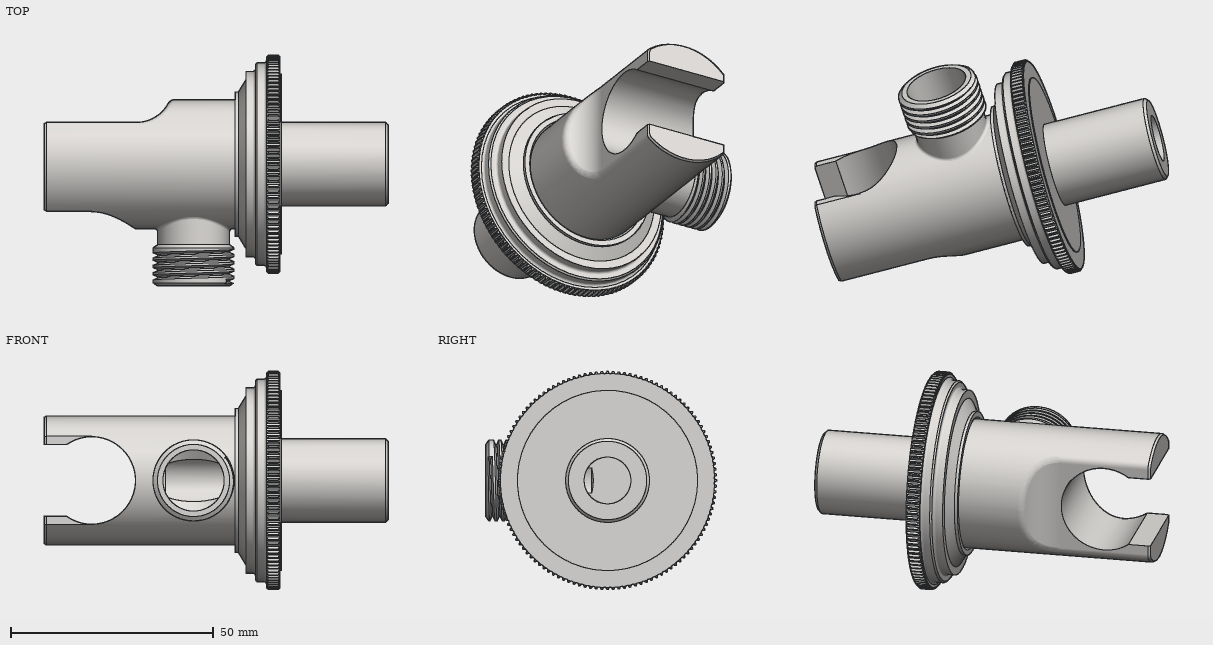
import cadquery as cq
import math


TOTAL_LENGTH = 85.0
COLLAR_FRONT = 47.2
RING_FRONT = 54.9
RING_BACK = 58.3

HOLDER_RADIUS = 16.0
TIP_CHAMFER_LENGTH = 0.3
TIP_CHAMFER_DEPTH = 0.6
FLAT_BACK_Y = 10.4
FLAT_FRONT_Y = -11.65
SCOOP_START = 22.9
SCOOP_RADIUS = 8.75
SCOOP_EDGE_FILLET = 1.9
CRADLE_X = 11.7
CRADLE_RADIUS = 10.8
THROAT_WIDTH = 17.7

OUTLET_X = 36.9
NECK_RADIUS = 8.9
NECK_FILLET = 0.7
NIPPLE_START = 19.9
NIPPLE_END = 30.1
THREAD_RADIUS = 10.0
THREAD_START = 0.85
THREAD_TURNS = 4.6
THREAD_LENGTH = 8.3
GROOVE_ROOT_WIDTH = 0.3
GROOVE_MOUTH_WIDTH = 1.3
GROOVE_OVERSHOOT = 0.25
NIPPLE_CHAMFER = 0.8

OUTLET_BORE_RADIUS = 7.6
OUTLET_BORE_DEPTH_Y = -3.9
DRILL_ANGLE = 118.0
INLET_RADIUS = 5.8
INLET_END_X = 30.0

COLLAR_RADIUS = 17.85
COLLAR_BACK = 47.9
COLLAR_CHAMFER = 0.5
CONE_BACK = 49.8
CONE_RADIUS = 20.9
STEP_1_RADIUS = 22.95
STEP_1_BACK = 52.2
STEP_2_RADIUS = 25.1
STEP_COVE = 0.7
STEP_2_EDGE = 0.4

KNURL_DIAMETER = 54.0
KNURL_RADIUS = KNURL_DIAMETER / 2
KNURL_ROOT_RADIUS = 26.4
TOOTH_COUNT = 120
TOOTH_TIP_SHARE = 0.2
TOOTH_BASE_SHARE = 0.65
KNURL_CHAMFER = 0.5
PAD_RADIUS = 22.3
PAD_THICKNESS = 0.25

PIPE_RADIUS = 10.4
PIPE_CHAMFER = 0.7

SELECT_MARGIN = 0.85


def x_cylinder(radius, start, end):
    return cq.Workplane("YZ", origin=(start, 0, 0)).circle(radius).extrude(end - start)


def outlet_cylinder(radius, start, end):
    """Cylinder on the outlet axis; start and end are distances from the main axis towards -Y."""
    return cq.Workplane("XZ", origin=(OUTLET_X, -start, 0)).circle(radius).extrude(end - start)


def revolve_about_x(profile):
    return profile.close().revolve(360, (0, 0, 0), (1, 0, 0))


def make_water_way():
    """Inlet bore along X meeting the outlet bore, which has a conical drilled bottom."""
    cone_depth = OUTLET_BORE_RADIUS / math.tan(math.radians(DRILL_ANGLE / 2))
    outlet = (
        cq.Workplane("XY", origin=(OUTLET_X, 0, 0))
        .moveTo(0, -NIPPLE_END)
        .lineTo(OUTLET_BORE_RADIUS, -NIPPLE_END)
        .lineTo(OUTLET_BORE_RADIUS, OUTLET_BORE_DEPTH_Y)
        .lineTo(0, OUTLET_BORE_DEPTH_Y + cone_depth)
        .close()
        .revolve(360, (0, 0, 0), (0, 1, 0))
    )
    return outlet.union(x_cylinder(INLET_RADIUS, INLET_END_X, TOTAL_LENGTH))


def make_back_scoop():
    """Cutter for the +Y flat, which rises to the full diameter in an arc tangent to the flat."""
    rise = HOLDER_RADIUS - FLAT_BACK_Y
    end_angle = math.acos(1 - rise / SCOOP_RADIUS)
    arc_end = (SCOOP_START + SCOOP_RADIUS * math.sin(end_angle), HOLDER_RADIUS)
    arc_middle = (
        SCOOP_START + SCOOP_RADIUS * math.sin(end_angle / 2),
        FLAT_BACK_Y + SCOOP_RADIUS * (1 - math.cos(end_angle / 2)),
    )
    return (
        cq.Workplane("XY", origin=(0, 0, -HOLDER_RADIUS))
        .moveTo(0, FLAT_BACK_Y)
        .lineTo(SCOOP_START, FLAT_BACK_Y)
        .threePointArc(arc_middle, arc_end)
        .lineTo(0, HOLDER_RADIUS)
        .close()
        .extrude(2 * HOLDER_RADIUS)
    )


def make_front_flat():
    """Cutter for the -Y flat, which runs out in the cradle."""
    depth = HOLDER_RADIUS + FLAT_FRONT_Y
    return (
        cq.Workplane("XY")
        .box(CRADLE_X, depth, 2 * HOLDER_RADIUS, centered=(False, False, True))
        .translate((0, -HOLDER_RADIUS, 0))
    )


def make_cradle():
    """Cutter for the round cradle and the narrower throat that opens at the tip."""
    cradle = (
        cq.Workplane("XZ")
        .center(CRADLE_X, 0)
        .circle(CRADLE_RADIUS)
        .extrude(HOLDER_RADIUS, both=True)
    )
    throat = cq.Workplane("XY").box(
        CRADLE_X, 2 * HOLDER_RADIUS, THROAT_WIDTH, centered=(False, True, True)
    )
    return cradle.union(throat)


def make_holder(water_way):
    barrel = x_cylinder(HOLDER_RADIUS, 0, RING_FRONT)
    neck = outlet_cylinder(NECK_RADIUS, 0, NIPPLE_START)
    holder = barrel.union(neck)
    foot_edges = cq.selectors.BoxSelector(
        (OUTLET_X - THREAD_RADIUS, -HOLDER_RADIUS - SELECT_MARGIN, -THREAD_RADIUS),
        (OUTLET_X + THREAD_RADIUS, 0, THREAD_RADIUS),
    )
    holder = holder.edges(foot_edges).fillet(NECK_FILLET)
    holder = holder.cut(make_back_scoop())
    scoop_edges = cq.selectors.BoxSelector(
        (SELECT_MARGIN, FLAT_BACK_Y - SELECT_MARGIN, -HOLDER_RADIUS),
        (OUTLET_X, HOLDER_RADIUS + SELECT_MARGIN, HOLDER_RADIUS),
    )
    holder = holder.edges(scoop_edges).edges("not #X").fillet(SCOOP_EDGE_FILLET)
    holder = holder.cut(make_front_flat())
    holder = holder.faces("<X").chamfer(TIP_CHAMFER_LENGTH, TIP_CHAMFER_DEPTH)
    return holder.cut(make_cradle()).cut(water_way)


def make_thread_groove():
    """Helical cutter on the Z axis with a trapezoidal section, starting on the -X side."""
    helix = cq.Wire.makeHelix(THREAD_LENGTH / THREAD_TURNS, THREAD_LENGTH, NECK_RADIUS)
    flank = (GROOVE_MOUTH_WIDTH - GROOVE_ROOT_WIDTH) / 2 / (THREAD_RADIUS - NECK_RADIUS)
    outer_radius = THREAD_RADIUS + GROOVE_OVERSHOOT
    outer_half = GROOVE_MOUTH_WIDTH / 2 + GROOVE_OVERSHOOT * flank
    groove = (
        cq.Workplane("XZ")
        .moveTo(NECK_RADIUS, -GROOVE_ROOT_WIDTH / 2)
        .lineTo(outer_radius, -outer_half)
        .lineTo(outer_radius, outer_half)
        .lineTo(NECK_RADIUS, GROOVE_ROOT_WIDTH / 2)
        .close()
        .sweep(cq.Workplane(obj=helix), isFrenet=True)
    )
    return groove.rotate((0, 0, 0), (0, 0, 1), 180)


def make_nipple():
    length = NIPPLE_END - NIPPLE_START
    nipple = (
        cq.Workplane("XZ")
        .moveTo(OUTLET_BORE_RADIUS, 0)
        .lineTo(NECK_RADIUS, 0)
        .lineTo(THREAD_RADIUS, NIPPLE_CHAMFER)
        .lineTo(THREAD_RADIUS, length - NIPPLE_CHAMFER)
        .lineTo(NECK_RADIUS, length)
        .lineTo(OUTLET_BORE_RADIUS, length)
        .close()
        .revolve(360, (0, 0, 0), (0, 1, 0))
    )
    groove = make_thread_groove().translate((0, 0, THREAD_START))
    nipple = nipple.cut(groove)
    return nipple.rotate((0, 0, 0), (1, 0, 0), 90).translate((OUTLET_X, -NIPPLE_START, 0))


def make_escutcheon():
    """Stepped ring around the holder, with a concave cove behind each step."""
    cove_mid = STEP_COVE * (1 - math.sqrt(0.5))
    profile = (
        cq.Workplane("XY")
        .moveTo(COLLAR_FRONT + COLLAR_CHAMFER, HOLDER_RADIUS)
        .lineTo(COLLAR_FRONT, HOLDER_RADIUS + COLLAR_CHAMFER)
        .lineTo(COLLAR_FRONT, COLLAR_RADIUS)
        .lineTo(COLLAR_BACK, COLLAR_RADIUS)
        .lineTo(CONE_BACK, CONE_RADIUS)
        .lineTo(CONE_BACK, STEP_1_RADIUS)
        .lineTo(STEP_1_BACK - STEP_COVE, STEP_1_RADIUS)
        .threePointArc(
            (STEP_1_BACK - cove_mid, STEP_1_RADIUS + cove_mid),
            (STEP_1_BACK, STEP_1_RADIUS + STEP_COVE),
        )
        .lineTo(STEP_1_BACK, STEP_2_RADIUS - STEP_2_EDGE)
        .lineTo(STEP_1_BACK + STEP_2_EDGE, STEP_2_RADIUS)
        .lineTo(RING_FRONT - STEP_COVE, STEP_2_RADIUS)
        .threePointArc(
            (RING_FRONT - cove_mid, STEP_2_RADIUS + cove_mid),
            (RING_FRONT, STEP_2_RADIUS + STEP_COVE),
        )
        .lineTo(RING_FRONT, HOLDER_RADIUS)
    )
    return revolve_about_x(profile)


def make_knurled_ring():
    pitch = 2 * math.pi / TOOTH_COUNT
    corners = [
        (KNURL_ROOT_RADIUS, -TOOTH_BASE_SHARE / 2),
        (KNURL_RADIUS, -TOOTH_TIP_SHARE / 2),
        (KNURL_RADIUS, TOOTH_TIP_SHARE / 2),
        (KNURL_ROOT_RADIUS, TOOTH_BASE_SHARE / 2),
    ]
    outline = [
        (radius * math.cos((tooth + share) * pitch), radius * math.sin((tooth + share) * pitch))
        for tooth in range(TOOTH_COUNT)
        for radius, share in corners
    ]
    toothed = (
        cq.Workplane("YZ", origin=(RING_FRONT, 0, 0))
        .polyline(outline)
        .close()
        .extrude(RING_BACK - RING_FRONT)
    )
    envelope = x_cylinder(KNURL_RADIUS, RING_FRONT, RING_BACK).edges().chamfer(KNURL_CHAMFER)
    pad = x_cylinder(PAD_RADIUS, RING_BACK, RING_BACK + PAD_THICKNESS)
    pipe_hole = x_cylinder(PIPE_RADIUS, RING_FRONT, RING_BACK + PAD_THICKNESS)
    return toothed.intersect(envelope).union(pad).cut(pipe_hole)


def make_wall_pipe(water_way):
    """Pipe that passes through the knurled ring and ends on the back of the holder."""
    pipe = x_cylinder(PIPE_RADIUS, RING_FRONT, TOTAL_LENGTH)
    return pipe.faces(">X").chamfer(PIPE_CHAMFER).cut(water_way)


water_way = make_water_way()
holder = make_holder(water_way)
nipple = make_nipple()
escutcheon = make_escutcheon()
knurled_ring = make_knurled_ring()
wall_pipe = make_wall_pipe(water_way)

result = cq.Compound.makeCompound(
    [holder.val(), nipple.val(), escutcheon.val(), knurled_ring.val(), wall_pipe.val()]
)